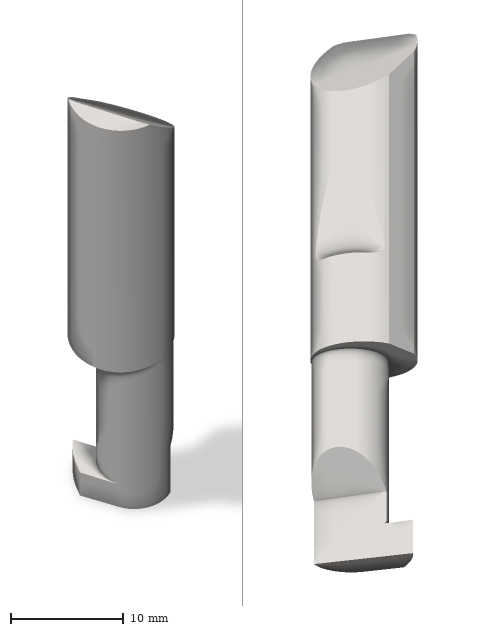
import cadquery as cq
import math

length = 50.8
shank_radius = 4.8
shank_bottom = 19.0
reach = 2 * length

rim_inset = 0.45
rim_height = 0.3
bevel_edge_y = -3.0
flat_end_y = 3.15
notch_top = 36.65
notch_bottom = 27.5
notch_floor_y = 3.3
notch_corner_radius = 0.8

neck_radius = 3.45
neck_x = shank_radius - neck_radius
relief_top = 9.7

head_top = 3.2
tip_x = -4.65
flank_end = (-2.8, -3.1)
flank_bulge = 0.2
heel_x = -2.5
undercut_x = -2.0
undercut_height = 0.25
end_rise = 0.25
end_back_rise = 0.125


def yz_prism(outline):
    """Full-width bar along X with the given (y, z) outline, already drawn."""
    return outline.close().extrude(reach / 2, both=True)


def yz_start(y, z):
    return cq.Workplane("YZ").moveTo(y, z)


def make_shank():
    body = cq.Workplane("XY").workplane(offset=shank_bottom).circle(shank_radius)
    body = body.extrude(length - shank_bottom)
    body = body.faces(">Z").edges().chamfer(rim_height, rim_inset)

    bevel_drop = reach - bevel_edge_y
    bevel = yz_start(bevel_edge_y, length).lineTo(reach, length - bevel_drop).lineTo(reach, length)
    body = body.cut(yz_prism(bevel))

    flat_end_x = -math.sqrt(shank_radius**2 - flat_end_y**2)
    flat = (
        cq.Workplane("XY")
        .moveTo(-shank_radius, 0)
        .lineTo(flat_end_x, flat_end_y)
        .lineTo(-shank_radius, flat_end_y)
        .close()
        .extrude(length)
    )
    body = body.cut(flat)

    notch = yz_start(notch_floor_y, notch_bottom).lineTo(shank_radius, notch_bottom)
    notch = notch.lineTo(shank_radius, notch_top)
    notch = yz_prism(notch).edges("|X and <Y").fillet(notch_corner_radius)
    return body.cut(notch)


def make_neck():
    body = cq.Workplane("XY").center(neck_x, 0).circle(neck_radius).extrude(shank_bottom)
    relief = yz_start(0, 0).lineTo(0, relief_top - neck_radius).lineTo(neck_radius, relief_top)
    relief = relief.lineTo(neck_radius, 0)
    body = body.cut(yz_prism(relief))
    undercut = (
        cq.Workplane("XZ")
        .moveTo(undercut_x, head_top)
        .lineTo(neck_x - neck_radius, head_top + undercut_height)
        .lineTo(neck_x - neck_radius, head_top)
    )
    return body.cut(undercut.close().extrude(neck_radius, both=True))


def make_head():
    flank_x, flank_y = flank_end
    flank_length = math.hypot(flank_x - tip_x, flank_y)
    flank_middle = (
        (tip_x + flank_x) / 2 + flank_bulge * flank_y / flank_length,
        flank_y / 2 - flank_bulge * (flank_x - tip_x) / flank_length,
    )
    return (
        cq.Workplane("XY")
        .moveTo(tip_x, 0)
        .threePointArc(flank_middle, flank_end)
        .lineTo(heel_x, -neck_radius)
        .lineTo(neck_x, -neck_radius)
        .lineTo(neck_x, 0)
        .close()
        .extrude(head_top)
    )


def make_end_clearance():
    """Wedge below the end face, which falls to its lowest point at the cutting tip."""
    x_angle = math.degrees(math.atan(end_rise / (shank_radius - tip_x)))
    y_angle = math.degrees(math.atan(end_back_rise / neck_radius))
    block = cq.Workplane("XY").box(reach, reach, reach, centered=(True, True, False))
    block = block.translate((0, 0, -reach))
    block = block.rotate((0, 0, 0), (1, 0, 0), -y_angle).rotate((0, 0, 0), (0, 1, 0), -x_angle)
    return block.translate((tip_x, 0, 0))


tool_end = make_neck().union(make_head()).cut(make_end_clearance())
result = make_shank().union(tool_end)